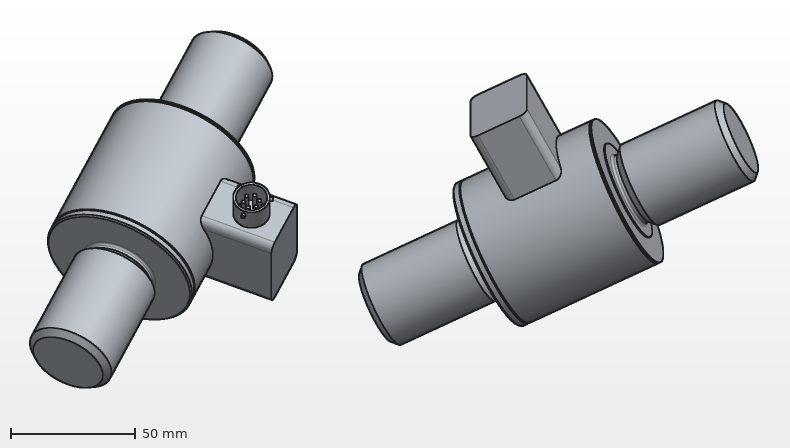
import cadquery as cq


overall_length = 165.1
stud_radius = 18.0
stud_tip_chamfer = 2.6
stud_inner_end = 37.0
neck_radius = 15.0
neck_fillet = 1.0

body_diameter = 63.5
body_radius = body_diameter / 2
body_half_length = 31.7
body_edge_chamfer = 0.7
boss_radius = 20.8
boss_height = 0.5
groove_width = 0.5
groove_depth = 0.2
groove_positions = (-28.4, 30.4)

overall_width = 89.3
box_end_x = overall_width - body_radius
box_width = 25.6
box_height = 38.3
box_center_y = 2.5
box_edge_radius = 3.5

connector_x = 43.1
connector_top = 29.9
connector_radius = 7.5
connector_bore_radius = 6.3
contact_count = 6
contact_circle_diameter = 6.5
contact_radius = 0.8
contact_recess = 2.6
lug_count = 3
lug_radius = 0.8
lug_reach = 8.8
lug_drop = 2.3


def make_stud():
    """Stud on the +Y side: neck, 45 degree undercut, shank and chamfered tip."""
    half_length = overall_length / 2
    undercut = stud_radius - neck_radius
    tip_radius = stud_radius - stud_tip_chamfer
    profile = (
        cq.Workplane("XY")
        .lineTo(neck_radius, 0)
        .lineTo(neck_radius, stud_inner_end - undercut)
        .lineTo(stud_radius, stud_inner_end)
        .lineTo(stud_radius, half_length - stud_tip_chamfer)
        .lineTo(tip_radius, half_length)
        .lineTo(0, half_length)
        .close()
    )
    return profile.revolve(360, (0, 0, 0), (0, 1, 0))


def make_neck_root():
    """Concave fillet where the +Y neck meets the end of the body."""
    root_radius = neck_radius + neck_fillet
    arc_end = body_half_length + neck_fillet
    profile = (
        cq.Workplane("XY")
        .lineTo(0, arc_end)
        .lineTo(neck_radius, arc_end)
        .radiusArc((root_radius, body_half_length), -neck_fillet)
        .lineTo(root_radius, 0)
        .close()
    )
    return profile.revolve(360, (0, 0, 0), (0, 1, 0))


def y_cylinder(radius, start, end):
    """Cylinder on the Y axis between two Y positions."""
    return cq.Workplane("XZ", origin=(0, start, 0)).circle(radius).extrude(start - end)


def make_body():
    """Body with a chamfered -Y rim and a low boss on its +Y face."""
    body = y_cylinder(body_radius, -body_half_length, body_half_length - boss_height)
    body = body.faces("<Y").edges().chamfer(body_edge_chamfer)
    return body.union(y_cylinder(boss_radius, 0, body_half_length))


def make_groove(position):
    """Ring that cuts one shallow groove around the body."""
    start = position - groove_width / 2
    end = position + groove_width / 2
    core = y_cylinder(body_radius - groove_depth, start, end)
    return y_cylinder(body_radius + groove_depth, start, end).cut(core)


def make_box():
    """Junction box from the body axis outward, its four long edges rounded."""
    box = cq.Workplane("XY").box(box_end_x, box_width, box_height, centered=(False, True, True))
    return box.edges("|X").fillet(box_edge_radius).translate((0, box_center_y, 0))


def make_connector():
    """Open shell with contacts standing on the box top and lugs around its rim."""
    floor_z = box_height / 2
    shell_height = connector_top - floor_z
    base = cq.Workplane("XY", origin=(connector_x, box_center_y, floor_z))
    shell = base.circle(connector_radius).extrude(shell_height)
    for index in range(lug_count):
        lug = (
            cq.Workplane("XZ", origin=(0, 0, connector_top - lug_drop))
            .circle(lug_radius)
            .extrude(lug_reach)
            .rotate((0, 0, 0), (0, 0, 1), index * 360 / lug_count)
            .translate((connector_x, box_center_y, 0))
        )
        shell = shell.union(lug)
    shell = shell.cut(base.circle(connector_bore_radius).extrude(shell_height))
    contacts = (
        base.polarArray(contact_circle_diameter / 2, 90, 360, contact_count)
        .circle(contact_radius)
        .extrude(shell_height - contact_recess)
    )
    return shell, contacts


body = make_body()
for end_feature in (make_stud(), make_neck_root()):
    body = body.union(end_feature).union(end_feature.mirror("XZ"))

result = body.union(make_box())
for position in groove_positions:
    result = result.cut(make_groove(position))
for connector_piece in make_connector():
    result = result.union(connector_piece)